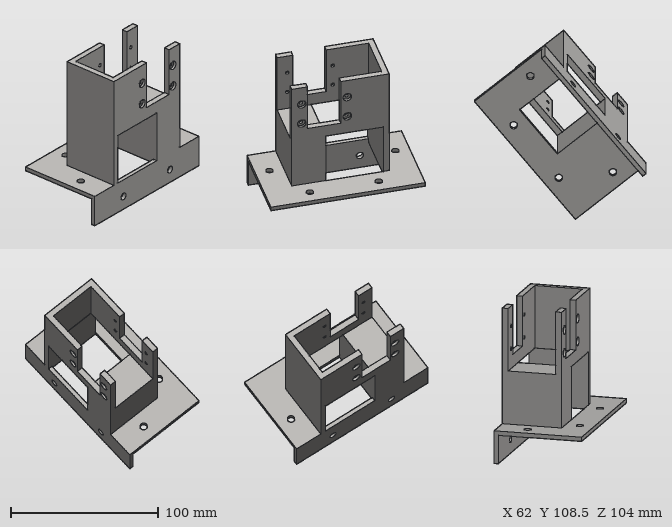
import cadquery as cq

base_x = 62.0
base_y = 108.5
total_z = 104.0
plate = 3.0
flange_drop = 20.0
base_top = flange_drop + plate

tower_inset = 20.0
tower_x = base_x - tower_inset
tower_y = base_y - 2 * tower_inset
tower_mid_x = tower_inset + tower_x / 2
tower_back = tower_y / 2
wall = 4.2
cavity_x = tower_x - 2 * wall

block_y = 24.0
block_z = 37.2
block_top = base_top + block_z

notch_offset = 11.1
notch_y = 23.4
notch_depth = 34.9
notch_floor = total_z - notch_depth

window_post = 4.0

mount_dia = 5.0
mount_edge = 10.0
mount_side_inset = 30.1
mount_side_y = base_y / 2 - mount_side_inset

screw_dia = 2.3
head_dia = 6.0
head_depth = 2.0
screw_offset = 7.0
screw_pitch_y = 32.0
screw_drop = 14.0
screw_pitch_z = 16.1


def box(x0, x1, y0, y1, z0, z1):
    """Box between two opposite corners."""
    size = (x1 - x0, y1 - y0, z1 - z0)
    return cq.Workplane("XY").box(*size, centered=False).translate((x0, y0, z0))


def rod_x(diameter, x0, x1, y, z):
    """Cylinder along X from x0 to x1."""
    return cq.Workplane("YZ", origin=(x0, y, z)).circle(diameter / 2).extrude(x1 - x0)


def make_bracket():
    """Base plate and flange with their mounting holes."""
    base = box(0, base_x, -base_y / 2, base_y / 2, flange_drop, base_top)
    flange = box(base_x - plate, base_x, -base_y / 2, base_y / 2, 0, flange_drop)
    body = base.union(flange)
    end_y = base_y / 2 - mount_edge
    for side in (-1, 1):
        for x, y in ((mount_edge, side * mount_side_y), (tower_mid_x, side * end_y)):
            hole = cq.Workplane("XY", origin=(x, y, flange_drop)).circle(mount_dia / 2).extrude(plate)
            body = body.cut(hole)
        body = body.cut(rod_x(mount_dia, base_x - plate, base_x, side * mount_side_y, mount_edge))
    return body


def cut_cavity(body):
    """Open the tower over the block and straight down through the base in front of it."""
    x0 = tower_inset + wall
    x1 = x0 + cavity_x
    front = -tower_back + wall
    body = body.cut(box(x0, x1, front, tower_back - block_y, flange_drop, total_z))
    return body.cut(box(x0, x1, front, tower_back, block_top, total_z))


def cut_side_walls(body):
    """Notch and window through both side walls, with the window carried down through the base."""
    notch_back = tower_back - notch_offset
    notch = box(tower_inset, base_x, notch_back - notch_y, notch_back, notch_floor, total_z)
    window_front = -tower_back + window_post
    window_back = tower_back - block_y
    window = box(tower_inset, base_x, window_front, window_back, base_top, block_top)
    base_slot = box(tower_inset, base_x - plate, window_front, window_back, flange_drop, base_top)
    return body.cut(notch).cut(window).cut(base_slot)


def cut_screw_holes(body):
    """Four screw holes through both side walls, counterbored from the outside."""
    for row in range(2):
        z = total_z - screw_drop - row * screw_pitch_z
        for column in range(2):
            y = tower_back - screw_offset - column * screw_pitch_y
            body = body.cut(rod_x(screw_dia, tower_inset, base_x, y, z))
            body = body.cut(rod_x(head_dia, tower_inset, tower_inset + head_depth, y, z))
            body = body.cut(rod_x(head_dia, base_x - head_depth, base_x, y, z))
    return body


tower = box(tower_inset, base_x, -tower_back, tower_back, base_top, total_z)
result = make_bracket().union(tower)
result = cut_cavity(result)
result = cut_side_walls(result)
result = cut_screw_holes(result)